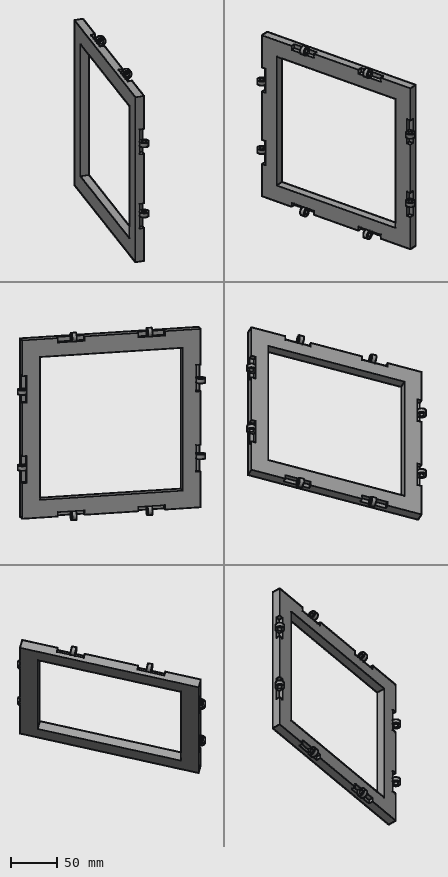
import cadquery as cq

overall_size = 210.0
steps_across = 42
grid_step = overall_size / steps_across

ring_radius = grid_step
frame_size = overall_size - 2 * ring_radius
frame_thickness = 2 * grid_step
border_width = 4 * grid_step
opening_size = frame_size - 2 * border_width

bore_radius = ring_radius / 2
ring_width = grid_step
ring_start = 8 * grid_step

notch_width = 6 * grid_step
notch_start = 6 * grid_step

sides = 4
quarter_turn = 360 / sides


def square_plate(size):
    """Square slab of the frame thickness, from Y = 0 to the rear face."""
    return cq.Workplane("XZ").rect(size, size).extrude(-frame_thickness)


def rear_edge_cylinder(radius, start, length):
    """Cylinder along X whose axis is the rear top edge of the frame."""
    edge_plane = cq.Workplane("YZ", origin=(start, frame_thickness, frame_size / 2))
    return edge_plane.circle(radius).extrude(length)


def rear_edge_block(start, length):
    """Square bar along X inside the frame, just below and in front of its rear top edge."""
    edge_plane = cq.Workplane("YZ", origin=(start, frame_thickness, frame_size / 2))
    return edge_plane.rect(-ring_radius, -ring_radius, centered=False).extrude(length)


def mirrored_pair(shape):
    """The shape and its mirror image about the middle of the side."""
    return shape.union(shape.mirror("YZ"))


def on_all_sides(shape):
    """Copies of a top-side shape on the four sides of the frame."""
    copies = shape
    for side in range(1, sides):
        copies = copies.union(shape.rotate((0, 0, 0), (0, 1, 0), side * quarter_turn))
    return copies


frame = square_plate(frame_size).cut(square_plate(opening_size))

notches = mirrored_pair(rear_edge_block(notch_start, notch_width))

ring_body = rear_edge_cylinder(ring_radius, ring_start, ring_width)
ring_bore = rear_edge_cylinder(bore_radius, ring_start, ring_width)
ring_foot = rear_edge_block(ring_start, ring_width)
rings = mirrored_pair(ring_body.union(ring_foot).cut(ring_bore))

result = frame.cut(on_all_sides(notches)).union(on_all_sides(rings)).solids()